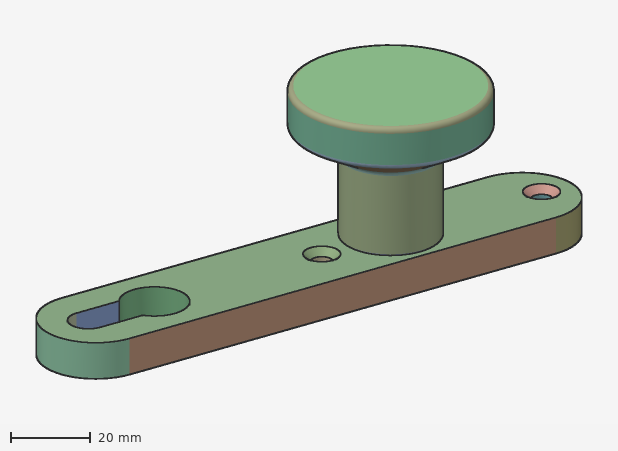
import cadquery as cq

plate_length = 160.0
plate_width = 30.0
plate_thickness = 10.0
knob_to_plate_end = 55.1
plate_center_y = knob_to_plate_end - plate_length / 2

screw_hole_diameter = 5.5
countersink_diameter = 9.5
countersink_angle = 90.0
screw_hole_positions = [(0, 46.0), (0, -21.0)]

keyhole_center_y = -72.0
keyhole_diameter = 17.8
keyhole_slot_width = 10.5
keyhole_slot_reach = 25.4

knob_top_z = 51.0
stem_diameter = 26.5
head_diameter = 52.0
flare_bottom_z = 33.0
flare_top_z = 40.0
stem_foot_fillet = 0.5
flare_bottom_fillet = 1.5
flare_top_fillet = 1.5
head_top_fillet = 1.5
match_tolerance = 0.01


def make_plate():
    """Plate with its two screw holes and the keyhole."""
    bar = (
        cq.Workplane("XY")
        .center(0, plate_center_y)
        .slot2D(plate_length, plate_width, 90)
        .extrude(plate_thickness)
    )
    drilled = (
        bar.faces(">Z")
        .workplane(origin=(0, 0, plate_thickness))
        .pushPoints(screw_hole_positions)
        .cskHole(screw_hole_diameter, countersink_diameter, countersink_angle)
    )
    return drilled.cut(make_keyhole())


def make_keyhole():
    """Round opening joined to a narrower slot with a round tip."""
    round_opening = (
        cq.Workplane("XY")
        .center(0, keyhole_center_y)
        .circle(keyhole_diameter / 2)
        .extrude(plate_thickness)
    )
    slot_length = keyhole_slot_reach + keyhole_slot_width / 2
    slot_center_y = keyhole_center_y - keyhole_slot_reach + slot_length / 2
    slot = (
        cq.Workplane("XY")
        .center(0, slot_center_y)
        .slot2D(slot_length, keyhole_slot_width, 90)
        .extrude(plate_thickness)
    )
    return round_opening.union(slot)


def fillet_circle(solid, diameter, height, fillet_radius):
    """Round the circular edge of the given diameter at the given height."""
    edges = [
        edge
        for edge in solid.edges("%CIRCLE").vals()
        if abs(edge.Center().z - height) < match_tolerance
        and abs(edge.radius() - diameter / 2) < match_tolerance
    ]
    return solid.newObject(edges).fillet(fillet_radius)


def make_knob():
    """Solid of revolution standing on top of the plate."""
    stem_radius = stem_diameter / 2
    head_radius = head_diameter / 2
    profile = [
        (0, plate_thickness),
        (stem_radius, plate_thickness),
        (stem_radius, flare_bottom_z),
        (head_radius, flare_top_z),
        (head_radius, knob_top_z),
        (0, knob_top_z),
    ]
    knob = cq.Workplane("XZ").polyline(profile).close().revolve(360, (0, 0, 0), (0, 1, 0))
    rounded_edges = [
        (stem_diameter, plate_thickness, stem_foot_fillet),
        (stem_diameter, flare_bottom_z, flare_bottom_fillet),
        (head_diameter, flare_top_z, flare_top_fillet),
        (head_diameter, knob_top_z, head_top_fillet),
    ]
    for diameter, height, fillet_radius in rounded_edges:
        knob = fillet_circle(knob, diameter, height, fillet_radius)
    return knob


plate = make_plate()
knob = make_knob()

result = cq.Compound.makeCompound([plate.val(), knob.val()])